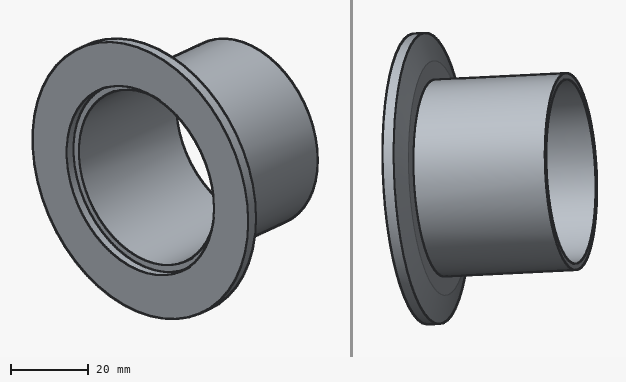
import cadquery as cq
import math

flange_diameter = 75.0
total_length = 40.0

tube_diameter = 50.8
bore_diameter = 47.5

rim_thickness = 3.0
flange_thickness = 4.95
taper_angle = 15.0

recess_diameter = 51.2
recess_depth = 2.6

flange_radius = flange_diameter / 2
tube_radius = tube_diameter / 2
bore_radius = bore_diameter / 2
recess_radius = recess_diameter / 2
taper_height = flange_thickness - rim_thickness
shoulder_radius = flange_radius - taper_height / math.tan(math.radians(taper_angle))

half_section = [
    (recess_radius, 0),
    (flange_radius, 0),
    (flange_radius, rim_thickness),
    (shoulder_radius, flange_thickness),
    (tube_radius, flange_thickness),
    (tube_radius, total_length),
    (bore_radius, total_length),
    (bore_radius, recess_depth),
    (recess_radius, recess_depth),
]

result = (
    cq.Workplane("XY")
    .polyline(half_section)
    .close()
    .revolve(360, (0, 0, 0), (0, 1, 0))
)